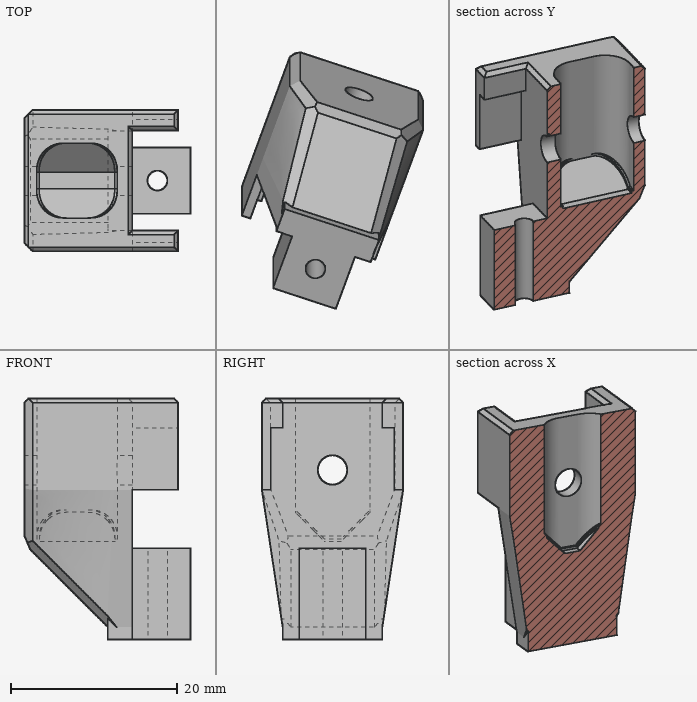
import cadquery as cq

head_length = 18.5
head_width = 17.0
head_bottom = 18.0
head_top = 29.0
front_edge_chamfer = 1.0
top_chamfer = 0.5
half_head = head_width / 2

back_x = 13.0
arm_gap = 12.0
undercut_width = 14.8
lip_bottom = 25.5

foot_front = 10.0
foot_width = 12.0
foot_height = 2.5
block_end = 20.0
block_width = 8.0
block_height = 11.0
block_hole_diameter = 2.36
block_hole_x = 16.0

neck_bottom = 1.5
half_foot = foot_width / 2
chin_top = 12.5
chin_top_half_width = 5.35
chin_depth = 0.7
chin_bottom = 10.85
chin_side_z = 11.666
chin_side_half_width = 5.504
cheek_bottom_z = 11.9
cheek_bottom_half_width = 6.45
underside_half_width = 5.0
underside_chamfer = 1.05
side_split_top_x = 10.76
side_split_bottom_z = 2.87
corner_top_z = 18.2

pocket_front = 1.5
pocket_length = 9.65
pocket_width = 9.0
pocket_corner_radius = 3.2
pocket_floor = 11.85
ledge_width = 0.3
ledge_height = 0.3
trough_floor_width = 2.0
cross_hole_diameter = 3.5
cross_hole_z = 20.4


def box(x_start, x_end, width, z_start, z_end):
    """Box centred on the XZ plane."""
    return cq.Workplane("XY").box(
        x_end - x_start, width, z_end - z_start, centered=(False, True, False)
    ).translate((x_start, 0, z_start))


def polygon_face(points):
    """Flat face through the given corner points."""
    return cq.Face.makeFromWires(cq.Wire.makePolygon(points, close=True))


def solid_from_faces(faces):
    """Closed solid bounded by the given faces."""
    return cq.Solid.makeSolid(cq.Shell.makeShell(faces))


def unchanged(point):
    """Point on the +Y side, left where it is."""
    return point


def mirrored(point):
    """Same point on the other side of the XZ plane."""
    return cq.Vector(point.x, -point.y, point.z)


underside_end_x = chin_depth + chin_bottom - neck_bottom
head_corner = cq.Vector(front_edge_chamfer, half_head, head_bottom)
corner_top = cq.Vector(0, half_head - front_edge_chamfer, corner_top_z)
chin_corner = cq.Vector(0, chin_top_half_width, chin_top)
under_front = cq.Vector(chin_depth, underside_half_width, chin_bottom)
under_back = cq.Vector(underside_end_x, underside_half_width, neck_bottom)
base_front = cq.Vector(underside_end_x + underside_chamfer, half_foot, neck_bottom)
base_back = cq.Vector(back_x, half_foot, neck_bottom)
shoulder_back = cq.Vector(back_x, half_head, head_bottom)
shoulder_split = cq.Vector(side_split_top_x, half_head, head_bottom)
front_shoulder_share = (head_bottom - chin_top) / (corner_top_z - chin_top)
front_shoulder = chin_corner + (corner_top - chin_corner) * front_shoulder_share
chin_side_share = (chin_top - chin_side_z) / (chin_top - chin_bottom)
chin_side = cq.Vector(chin_depth * chin_side_share, chin_side_half_width, chin_side_z)
cheek_bottom = cq.Vector(front_edge_chamfer, cheek_bottom_half_width, cheek_bottom_z)
side_bottom_share = (side_split_bottom_z - neck_bottom) / (head_bottom - neck_bottom)
side_bottom_half_width = half_foot + (half_head - half_foot) * side_bottom_share
side_bottom = cq.Vector(foot_front, side_bottom_half_width, side_split_bottom_z)


def make_neck():
    half_outlines = [
        [front_shoulder, head_corner, shoulder_split, shoulder_back],
        [front_shoulder, chin_corner],
        [chin_corner, chin_side, under_front],
        [under_front, under_back],
        [under_back, base_front, base_back],
        [base_back, shoulder_back],
    ]
    faces = []
    for outline in half_outlines:
        faces.append(polygon_face(outline + [mirrored(point) for point in reversed(outline)]))

    side_outlines = [
        [chin_corner, cheek_bottom, chin_side],
        [chin_side, cheek_bottom, under_front],
        [under_back, side_bottom, base_front],
        [shoulder_split, shoulder_back, base_back, base_front, side_bottom],
    ]
    warped_spans = [
        (front_shoulder, chin_corner, head_corner, cheek_bottom),
        (head_corner, shoulder_split, cheek_bottom, side_bottom),
        (under_front, under_back, cheek_bottom, side_bottom),
    ]
    for flip in (unchanged, mirrored):
        for outline in side_outlines:
            faces.append(polygon_face([flip(point) for point in outline]))
        for span in warped_spans:
            first_start, first_end, second_start, second_end = [flip(point) for point in span]
            first_edge = cq.Edge.makeLine(first_start, first_end)
            second_edge = cq.Edge.makeLine(second_start, second_end)
            faces.append(cq.Face.makeRuledSurface(first_edge, second_edge))
    return cq.Workplane(solid_from_faces(faces))


def make_corner_trim(flip):
    """Sliver that carries the neck's front bevel up into the head."""
    corner_low = cq.Vector(0, corner_top.y, head_bottom)
    tips = [flip(point) for point in (corner_top, head_corner, corner_low, front_shoulder)]
    faces = []
    for skipped in tips:
        faces.append(polygon_face([tip for tip in tips if tip is not skipped]))
    return solid_from_faces(faces)


def make_head():
    head = box(0, head_length, head_width, head_bottom, head_top)
    head = head.cut(box(back_x, head_length, arm_gap, head_bottom, head_top))
    head = head.faces(">Z").edges().chamfer(top_chamfer)
    bevelled_front = box(0, head_length, head_width, head_bottom, head_top)
    bevelled_front = bevelled_front.edges("|Z and <X").chamfer(front_edge_chamfer)
    head = head.intersect(bevelled_front)
    head = head.cut(box(back_x, head_length, undercut_width, head_bottom, lip_bottom))
    for flip in (unchanged, mirrored):
        head = head.cut(cq.Workplane(make_corner_trim(flip)))
    return head


def make_trough(inset, floor):
    """Rounded pocket shortened by the inset at both X ends, with its trough floor at the given height."""
    pocket_back = pocket_front + pocket_length
    pocket = box(pocket_front + inset, pocket_back - inset, pocket_width, floor, head_top)
    pocket = pocket.edges("|Z").fillet(pocket_corner_radius)
    half_pocket = pocket_width / 2
    half_floor = trough_floor_width / 2
    trough_top = floor + half_pocket - half_floor
    trough_outline = [
        (-half_floor, floor),
        (half_floor, floor),
        (half_pocket, trough_top),
        (half_pocket, head_top),
        (-half_pocket, head_top),
        (-half_pocket, trough_top),
    ]
    trough = cq.Workplane("YZ").polyline(trough_outline).close().extrude(head_length)
    return pocket.intersect(trough)


def make_pocket():
    """Pocket whose trough floor has a narrow raised ledge along its X ends."""
    return make_trough(0, pocket_floor + ledge_height).union(make_trough(ledge_width, pocket_floor))


def make_foot():
    foot = box(foot_front, back_x, foot_width, 0, foot_height)
    block = box(back_x, block_end, block_width, 0, block_height)
    hole = cq.Workplane("XY").center(block_hole_x, 0).circle(block_hole_diameter / 2).extrude(block_height)
    return foot.union(block).cut(hole)


cross_hole = cq.Workplane("YZ").center(0, cross_hole_z).circle(cross_hole_diameter / 2).extrude(back_x)

result = make_head().union(make_neck()).union(make_foot())
result = result.cut(make_pocket()).cut(cross_hole)